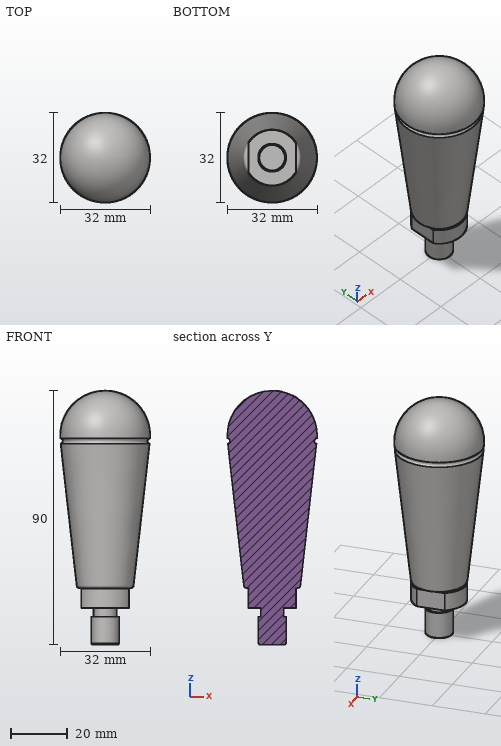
import cadquery as cq
import math

total_height = 90.0

stud_radius = 10.0 / 2
stud_tip_radius = 9.0 / 2
stud_chamfer = stud_radius - stud_tip_radius
stud_length = 10.0

neck_radius = 8.3 / 2
neck_length = 3.0

collar_radius = 20.0 / 2
collar_height = 7.0
collar_chamfer = 0.2
width_across_flats = 17.0

ball_radius = 32.0 / 2
grip_bottom_radius = 10.0
grip_edge_fillet = 1.2
groove_radius = 0.95
groove_below_ball_center = 1.9

neck_bottom = stud_length
collar_bottom = neck_bottom + neck_length
collar_top = collar_bottom + collar_height
ball_center = total_height - ball_radius
groove_height = ball_center - groove_below_ball_center

side_rise = ball_center - collar_top
center_distance = math.hypot(grip_bottom_radius, side_rise)
bearing = math.atan2(-side_rise, grip_bottom_radius)
tangent_angle = bearing + math.acos(ball_radius / center_distance)
tangent_radius = ball_radius * math.cos(tangent_angle)
tangent_height = ball_center + ball_radius * math.sin(tangent_angle)


def cylinder(radius, bottom, top):
    """Cylinder on the Z axis between two heights."""
    return cq.Workplane("XY").workplane(offset=bottom).circle(radius).extrude(top - bottom)


def make_stud():
    """Stud with a chamfered tip, and the thinner neck above it."""
    stud = cylinder(stud_radius, 0, stud_length).faces("<Z").chamfer(stud_chamfer)
    return stud.union(cylinder(neck_radius, neck_bottom, collar_bottom))


def make_collar():
    """Round collar cut to the width across its two flats, with broken edges."""
    collar = cylinder(collar_radius, collar_bottom, collar_top)
    flats = (
        cq.Workplane("XY")
        .workplane(offset=collar_bottom)
        .rect(width_across_flats, 2 * collar_radius)
        .extrude(collar_height)
    )
    return collar.intersect(flats).faces("<Z or >Z").chamfer(collar_chamfer)


def make_grip():
    """Revolved cone and ball with a rounded lower edge and a round groove at their seam."""
    ball_diagonal = ball_radius * math.sqrt(0.5)
    outline = (
        cq.Workplane("XZ")
        .moveTo(0, collar_top)
        .lineTo(grip_bottom_radius, collar_top)
        .lineTo(tangent_radius, tangent_height)
        .threePointArc((ball_diagonal, ball_center + ball_diagonal), (0, total_height))
        .close()
    )
    grip = outline.revolve(360, (0, 0), (0, 1)).faces("<Z").edges().fillet(grip_edge_fillet)
    groove = cq.Solid.makeTorus(ball_radius, groove_radius, cq.Vector(0, 0, groove_height))
    return grip.cut(cq.Workplane(groove))


result = make_stud().union(make_collar()).union(make_grip())